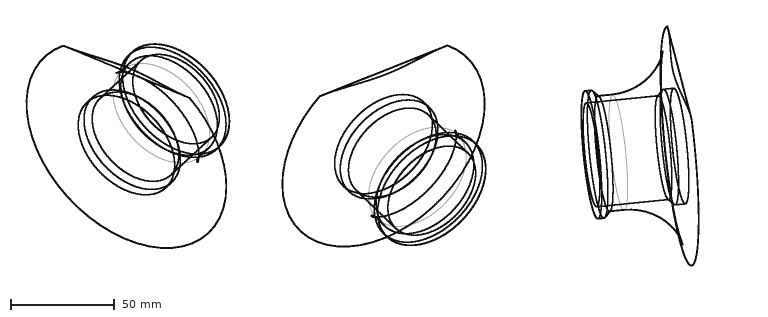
import cadquery as cq
import math

neck_radius = 56.0 / 2
flare_radius = 30.0
collar_radius = 62.0 / 2
bore_radius = 50.3 / 2
neck_length = 7.0
collar_thickness = 3.0
counterbore_depth = 5.0
flat_height = 45.0

mouth_radius = neck_radius + flare_radius
bevel_length = collar_radius - neck_radius
counterbore_radius = neck_radius
bore_start = counterbore_depth + counterbore_radius - bore_radius
neck_end = flare_radius + neck_length
collar_start = neck_end + bevel_length
total_length = collar_start + collar_thickness


def make_body():
    """Bell-mouth tube: counterbored neck with a quarter-round flare and a bevelled collar."""
    flare_midpoint = (
        mouth_radius - flare_radius * math.cos(math.pi / 4),
        flare_radius - flare_radius * math.sin(math.pi / 4),
    )
    profile = (
        cq.Workplane("XY")
        .moveTo(counterbore_radius, 0)
        .lineTo(mouth_radius, 0)
        .threePointArc(flare_midpoint, (neck_radius, flare_radius))
        .lineTo(neck_radius, neck_end)
        .lineTo(collar_radius, collar_start)
        .lineTo(collar_radius, total_length)
        .lineTo(bore_radius, total_length)
        .lineTo(bore_radius, bore_start)
        .lineTo(counterbore_radius, counterbore_depth)
        .close()
    )
    return profile.revolve(360, (0, 0, 0), (0, 1, 0))


def make_flat_cutter():
    """Block that removes the flare above the flat."""
    return cq.Workplane("XY").box(
        2 * mouth_radius, 2 * total_length, mouth_radius, centered=(True, True, False)
    ).translate((0, 0, flat_height))


result = make_body().cut(make_flat_cutter())